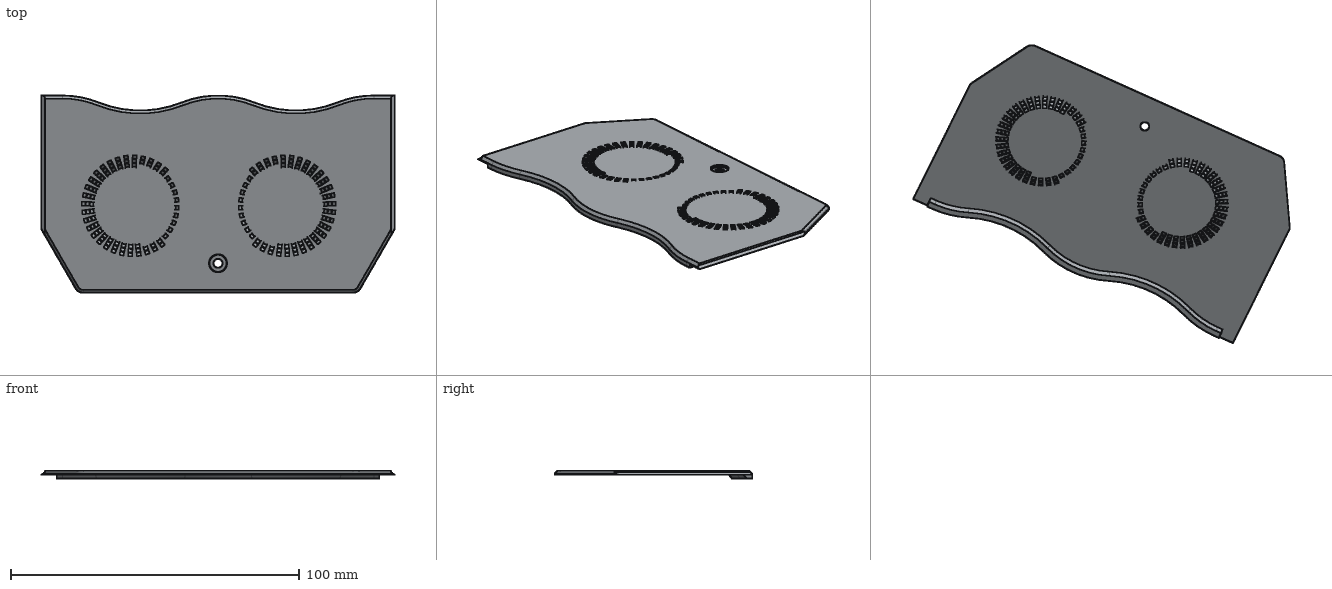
import cadquery as cq
import math

WIDTH = 122.79
DEPTH = 68.54
HEIGHT = 2.8
PLATE_THICKNESS = 1.5
LIP_DROP = HEIGHT - PLATE_THICKNESS
BACK_Y = DEPTH / 2
FRONT_Y = -DEPTH / 2

SIDE_END_Y = -12.0
CORNER_SLANT = 30.0
CORNER_RADIUS = 3.0
WAVE_DEPTH = 5.2
WAVE_TROUGH_X = 27.0
WAVE_OUTER_X = 2 * WAVE_TROUGH_X
WAVE_INFLECTION = 0.465

BACK_BEVEL = 1.1
FRONT_UPPER_RUN = 0.7
FRONT_UPPER_DROP = 0.6
FRONT_STEEP_RUN = 0.35
FRONT_STEEP_DROP = 0.5
SIDE_BREAK_RUN = 1.25
SIDE_BREAK_HEIGHT = 0.85
SIDE_BEVEL_RUN = 1.4

LIP_LENGTH = 112.0
LIP_WIDTH = 3.0
LIP_SLOPE_RUN = 1.1

HOLE_Y = -24.0
HOLE_DIAMETER = 3.05
COUNTERBORE_DIAMETER = 5.9
COUNTERBORE_DEPTH = 0.8
COUNTERBORE_CHAMFER = 0.2

DIAL_SPACING = 53.0
DIAL_MIDDLE_X = -3.2
DIAL_Y = -4.05
TICK_PITCH = 10.0
FIRST_TICK_ANGLE = 87.5
TICK_WIDTH = 1.4
SLOT_LENGTH = 1.15
SLOT_PITCH = 1.4
RING_COUNT = 3
SLOT_INNER_RADIUS = 13.6
TICK_RUNS = [
    (20, (0, 1, 2)),
    (3, (1, 2)),
    (9, (1,)),
    (4, (1, 2)),
]


def wave_arcs(offset):
    """Through- and end-points of the back edge's arcs, left to right, moved inward by offset."""
    half_angle = math.atan(WAVE_DEPTH / WAVE_TROUGH_X)
    angle = 2 * half_angle
    crest_radius = WAVE_INFLECTION * WAVE_TROUGH_X / math.sin(angle) - offset
    trough_radius = (1 - WAVE_INFLECTION) * WAVE_TROUGH_X / math.sin(angle) + offset
    crest_y = BACK_Y - offset
    trough_y = crest_y - WAVE_DEPTH

    def crest(center_x, turn):
        return center_x + crest_radius * math.sin(turn), crest_y - crest_radius * (1 - math.cos(turn))

    def trough(center_x, turn):
        return center_x + trough_radius * math.sin(turn), trough_y + trough_radius * (1 - math.cos(turn))

    return [
        (crest(-WAVE_OUTER_X, half_angle), crest(-WAVE_OUTER_X, angle)),
        (trough(-WAVE_TROUGH_X, 0), trough(-WAVE_TROUGH_X, angle)),
        (crest(0, 0), crest(0, angle)),
        (trough(WAVE_TROUGH_X, 0), trough(WAVE_TROUGH_X, angle)),
        (crest(WAVE_OUTER_X, -half_angle), crest(WAVE_OUTER_X, 0)),
    ]


def add_wave(sketch, offset):
    """Continue the sketch along the wave from its left end to its right end."""
    sketch = sketch.lineTo(-WAVE_OUTER_X, BACK_Y - offset)
    for middle, end in wave_arcs(offset):
        sketch = sketch.threePointArc(middle, end)
    return sketch


def make_blank():
    """Flat plate with square edges and rounded front corners."""
    half = WIDTH / 2
    slant_run = (SIDE_END_Y - FRONT_Y) * math.tan(math.radians(CORNER_SLANT))
    outline = add_wave(cq.Workplane("XY").moveTo(-half, BACK_Y), 0)
    outline = (
        outline.lineTo(half, BACK_Y)
        .lineTo(half, SIDE_END_Y)
        .lineTo(half - slant_run, FRONT_Y)
        .lineTo(slant_run - half, FRONT_Y)
        .lineTo(-half, SIDE_END_Y)
        .close()
    )
    blank = outline.extrude(PLATE_THICKNESS)
    return blank.edges("|Z and <Y").fillet(CORNER_RADIUS)


def edges_within(corner, opposite_corner):
    """Selector for the edges centered between two corners in X and Y."""
    return cq.selectors.BoxSelector((*corner, 0), (*opposite_corner, HEIGHT))


def bevel_front_and_back(plate):
    """Bevel the wavy back edge, the front edge and the slanted front corners."""
    back_edges = edges_within((-WIDTH, 0), (WIDTH, DEPTH))
    plate = plate.faces(">Z").edges("not(<X or >X)").edges(back_edges).chamfer(BACK_BEVEL)

    steep_drop = FRONT_STEEP_DROP + FRONT_UPPER_DROP
    steep_run = steep_drop * FRONT_STEEP_RUN / FRONT_STEEP_DROP
    top_run = FRONT_STEEP_RUN + FRONT_UPPER_RUN - steep_run
    slope_length = FRONT_UPPER_DROP * math.hypot(FRONT_STEEP_RUN, FRONT_STEEP_DROP) / FRONT_STEEP_DROP
    front_edges = edges_within((-WIDTH, -DEPTH), (WIDTH, SIDE_END_Y))
    for run, drop in ((steep_run, steep_drop), (top_run, slope_length)):
        plate = plate.faces(">Z").edges(front_edges).chamfer(run, drop)
    return plate


def side_bevel_cutter():
    """Material removed from the right side: a nearly upright face above a bevel."""
    half = WIDTH / 2
    return (
        cq.Workplane("XZ")
        .moveTo(half, 0)
        .lineTo(half - SIDE_BREAK_RUN, SIDE_BREAK_HEIGHT)
        .lineTo(half - SIDE_BEVEL_RUN, PLATE_THICKNESS)
        .lineTo(half, PLATE_THICKNESS)
        .close()
        .extrude(DEPTH / 2, both=True)
    )


def make_lip():
    """Strip under the back edge that follows the wave, with a sloping front face."""
    half = LIP_LENGTH / 2
    inner_y = BACK_Y - LIP_WIDTH
    outline = add_wave(cq.Workplane("XY").moveTo(-half, BACK_Y), 0)
    outline = outline.lineTo(half, BACK_Y).lineTo(half, inner_y - WAVE_DEPTH)
    block = outline.lineTo(-half, inner_y - WAVE_DEPTH).close().extrude(-LIP_DROP)

    front = add_wave(cq.Workplane("XY").moveTo(-half, inner_y), LIP_WIDTH)
    front = front.lineTo(half, inner_y).lineTo(half, FRONT_Y).lineTo(-half, FRONT_Y).close()
    slope = math.degrees(math.atan(LIP_SLOPE_RUN / LIP_DROP))
    return block.cut(front.extrude(-LIP_DROP, taper=-slope))


def slot_ring(ring):
    """Conical ring, centered on the Z axis, from which one ring of slots is taken."""
    inner = SLOT_INNER_RADIUS + ring * SLOT_PITCH
    outer = inner + SLOT_LENGTH
    lean = PLATE_THICKNESS
    return (
        cq.Workplane("XZ")
        .moveTo(inner - lean, 0)
        .lineTo(outer - lean, 0)
        .lineTo(outer, PLATE_THICKNESS)
        .lineTo(inner, PLATE_THICKNESS)
        .close()
        .revolve(360, (0, 0, 0), (0, 1, 0))
    )


def make_dial():
    """All slots of the left dial, centered on the Z axis."""
    rings = [slot_ring(ring).val() for ring in range(RING_COUNT)]
    reach = SLOT_INNER_RADIUS + RING_COUNT * SLOT_PITCH
    spoke = cq.Workplane("XY").box(reach, TICK_WIDTH, PLATE_THICKNESS, centered=(False, True, False))
    slots = []
    angle = FIRST_TICK_ANGLE
    for count, tick_rings in TICK_RUNS:
        for _ in range(count):
            turned_spoke = spoke.rotate((0, 0, 0), (0, 0, 1), angle).val()
            slots += [turned_spoke.intersect(rings[ring]) for ring in tick_rings]
            angle += TICK_PITCH
    return cq.Workplane(obj=cq.Compound.makeCompound(slots))


def add_screw_hole(plate):
    """Counterbored hole through the plate with a chamfered rim."""
    plate = (
        plate.faces(">Z")
        .workplane(origin=(0, HOLE_Y, PLATE_THICKNESS))
        .cboreHole(HOLE_DIAMETER, COUNTERBORE_DIAMETER, COUNTERBORE_DEPTH)
    )
    reach = COUNTERBORE_DIAMETER / 2
    rim = edges_within((-reach, HOLE_Y - reach), (reach, HOLE_Y + reach))
    return plate.faces(">Z").edges(rim).chamfer(COUNTERBORE_CHAMFER)


side_cutter = side_bevel_cutter()
plate = bevel_front_and_back(make_blank())
plate = plate.cut(side_cutter).cut(side_cutter.mirror("YZ"))
plate = plate.union(make_lip())

left_dial = make_dial().translate((DIAL_MIDDLE_X - DIAL_SPACING / 2, DIAL_Y, 0))
right_dial = left_dial.mirror("YZ", (DIAL_MIDDLE_X, 0, 0))
plate = plate.cut(left_dial).cut(right_dial)

result = add_screw_hole(plate)